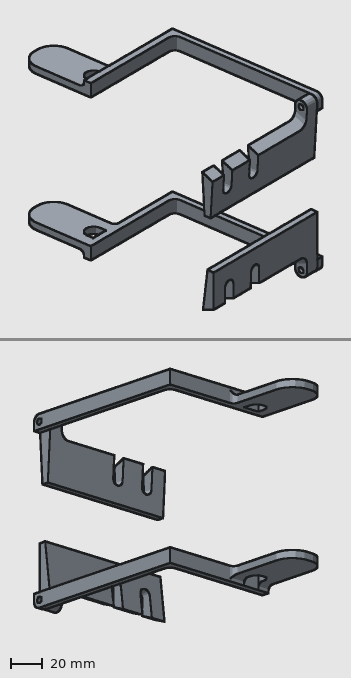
import cadquery as cq
import math

OVERALL_X = 177.2
OVERALL_Z = 129.0

BRACKET_HEIGHT = 10.5
BRACKET_DEPTH = 85.2
ARM_THICKNESS = 5.0
POST_LEFT = 52.8
POST_THICKNESS = 5.7
POST_RIGHT = POST_LEFT + POST_THICKNESS
INNER_CORNER_RADIUS = 5.0

TAB_WIDTH = 30.1
TAB_THICKNESS = 5.5
TAB_CORNER_RADIUS = 13.5
TAB_FILLET = 3.5
SLOT_WIDTH = 12.2
SLOT_LEFT = 41.8

BARREL_RADIUS = 5.0
HINGE_HOLE_DIAMETER = 4.0
HINGE_X = OVERALL_X - BARREL_RADIUS
HINGE_Z = (OVERALL_Z - BRACKET_HEIGHT) / 2

BLADE_LENGTH = 100.0
BLADE_DROP = 40.0
TAPER_ANGLE = 3.5
BARREL_LENGTH = 10.0
SHOULDER_SLOPE = 24.5
SHOULDER_DROP = 10.1
SHOULDER_FILLET = 6.0
NOTCH_WIDTH = 8.0
NOTCH_FLOOR_DROP = BLADE_DROP - 12.0
NOTCH_PITCH = 25.0
END_NOTCH_TO_TIP = 15.0

ARM_FRONT_Y = BRACKET_DEPTH - ARM_THICKNESS
TOP_Z = OVERALL_Z / 2
BOTTOM_Z = TOP_Z - BRACKET_HEIGHT


def box(x_range, y_range, z_range):
    """Return a block filling the given X, Y and Z ranges."""
    lows, highs = zip(x_range, y_range, z_range)
    size = [high - low for low, high in zip(lows, highs)]
    return cq.Workplane("XY").box(*size, centered=False).translate(lows)


def make_frame():
    """L-shaped frame: the post and the arm, with the hinge end rounded on top."""
    post = box((POST_LEFT, POST_RIGHT), (0, BRACKET_DEPTH), (BOTTOM_Z, TOP_Z))
    arm = box((POST_LEFT, OVERALL_X), (ARM_FRONT_Y, BRACKET_DEPTH), (BOTTOM_Z, TOP_Z))
    arm = arm.edges(">X and >Z").fillet(BARREL_RADIUS)
    inner_corner = cq.selectors.NearestToPointSelector((POST_RIGHT, ARM_FRONT_Y, HINGE_Z))
    return post.union(arm).edges(inner_corner).fillet(INNER_CORNER_RADIUS)


def make_tab():
    """Mounting tab with two rounded corners at its free end."""
    tab = box((0, POST_RIGHT), (0, TAB_WIDTH), (BOTTOM_Z, BOTTOM_Z + TAB_THICKNESS))
    return tab.edges("|Z and <X").fillet(TAB_CORNER_RADIUS)


def make_tab_slot():
    """Round-ended slot through the tab, closed by the face of the post."""
    radius = SLOT_WIDTH / 2
    arc_x = SLOT_LEFT + radius
    middle_y = TAB_WIDTH / 2
    return (
        cq.Workplane("XY", origin=(0, 0, BOTTOM_Z))
        .moveTo(POST_LEFT, middle_y - radius)
        .lineTo(arc_x, middle_y - radius)
        .threePointArc((SLOT_LEFT, middle_y), (arc_x, middle_y + radius))
        .lineTo(POST_LEFT, middle_y + radius)
        .close()
        .extrude(BRACKET_HEIGHT)
    )


def make_hinge_hole():
    """Bore along Y through the full depth of the hinge."""
    return (
        cq.Workplane("XZ", origin=(HINGE_X, BRACKET_DEPTH, HINGE_Z))
        .circle(HINGE_HOLE_DIAMETER / 2)
        .extrude(BRACKET_DEPTH)
    )


def make_bracket():
    """Upper bracket."""
    bracket = make_frame().union(make_tab())
    root_top = (POST_LEFT, TAB_WIDTH / 2, BOTTOM_Z + TAB_THICKNESS)
    root_side = (POST_LEFT, TAB_WIDTH, BOTTOM_Z + TAB_THICKNESS / 2)
    for root in (root_top, root_side):
        bracket = bracket.edges(cq.selectors.NearestToPointSelector(root)).fillet(TAB_FILLET)
    return bracket.cut(make_tab_slot()).cut(make_hinge_hole())


def make_blade_blank():
    """Barrel outline with straight sides tangent to it, extruded along the blade."""
    taper = math.radians(TAPER_ANGLE)
    tangent_x = BARREL_RADIUS * math.cos(taper)
    tangent_z = -BARREL_RADIUS * math.sin(taper)
    tip_x = BARREL_RADIUS / math.cos(taper) - BLADE_DROP * math.tan(taper)
    return (
        cq.Workplane("XZ", origin=(HINGE_X, ARM_FRONT_Y, HINGE_Z))
        .moveTo(-tip_x, -BLADE_DROP)
        .lineTo(-tangent_x, tangent_z)
        .threePointArc((0, BARREL_RADIUS), (tangent_x, tangent_z))
        .lineTo(tip_x, -BLADE_DROP)
        .close()
        .extrude(BLADE_LENGTH)
    )


def make_shoulder_cutter():
    """Space in front of the barrel, above a sloping shoulder with a rounded root."""
    reach = 4 * BARREL_RADIUS
    cutter = box(
        (-reach, reach),
        (-BLADE_LENGTH, -BARREL_LENGTH),
        (-SHOULDER_DROP, reach),
    )
    cutter = cutter.edges("<Z and >Y").fillet(SHOULDER_FILLET)
    cutter = cutter.rotate((0, 0, 0), (0, 1, 0), SHOULDER_SLOPE)
    return cutter.translate((HINGE_X, ARM_FRONT_Y, HINGE_Z))


def make_notch(notch_y):
    """Round-bottomed notch across the blade, open upwards."""
    radius = NOTCH_WIDTH / 2
    floor_z = HINGE_Z - NOTCH_FLOOR_DROP
    arc_z = floor_z + radius
    return (
        cq.Workplane("YZ", origin=(HINGE_X, 0, 0))
        .moveTo(notch_y - radius, TOP_Z)
        .lineTo(notch_y - radius, arc_z)
        .threePointArc((notch_y, floor_z), (notch_y + radius, arc_z))
        .lineTo(notch_y + radius, TOP_Z)
        .close()
        .extrude(2 * BARREL_RADIUS, both=True)
    )


def make_blade():
    """Upper blade, hanging straight down from the hinge."""
    blade = make_blade_blank().cut(make_shoulder_cutter()).cut(make_hinge_hole())
    end_notch_y = ARM_FRONT_Y - BLADE_LENGTH + END_NOTCH_TO_TIP
    for notch_y in (end_notch_y, end_notch_y + NOTCH_PITCH):
        blade = blade.cut(make_notch(notch_y))
    return blade


def swing_blade(blade, angle):
    """Turn a blade about its hinge axis."""
    hinge_start = (HINGE_X, 0, HINGE_Z)
    hinge_end = (HINGE_X, 1, HINGE_Z)
    return blade.rotate(hinge_start, hinge_end, angle)


upper_bracket = make_bracket()
lower_bracket = upper_bracket.mirror("XY")

upper_blade = make_blade()
lower_blade = swing_blade(upper_blade, -TAPER_ANGLE).mirror("XY")

result = cq.Compound.makeCompound(
    [upper_bracket.val(), lower_bracket.val(), upper_blade.val(), lower_blade.val()]
)